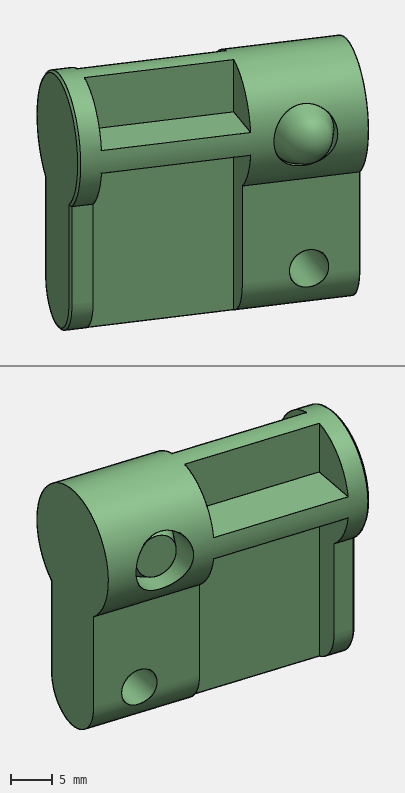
import cadquery as cq
import math

length = 37.0
height = 33.3
head_radius = 8.5
stem_radius = 5.0
stem_center_z = head_radius + stem_radius - height
front_chamfer = 0.3

collar_length = 3.0
recess_end_y = 22.0
rib_thickness = 3.0

pin_y = 29.0
pin_radius = 4.07
knob_tip_x = 11.45
dome_base_x = 8.88
dome_base_radius = 3.33
knob_taper_start_x = 6.92
flat_end_x = -6.45
flat_end_radius = 2.85
flat_taper_length = 2.7

cross_hole_diameter = 5.0
cross_hole_y = 30.52
cross_hole_z = -18.85


def extrude_profile():
    """Round head with a round-ended stem hanging below it."""
    head = cq.Workplane("XZ").circle(head_radius).extrude(-length)
    stem_end = (
        cq.Workplane("XZ").center(0, stem_center_z).circle(stem_radius).extrude(-length)
    )
    stem = cq.Workplane("XY").box(
        2 * stem_radius, length, -stem_center_z, centered=(True, False, False)
    ).translate((0, 0, stem_center_z))
    return head.union(stem).union(stem_end)


def side_recess(side, upper):
    """Block removed beside the vertical rib, above or below the horizontal rib."""
    block_height = head_radius if upper else height
    direction_z = 1 if upper else -1
    block = cq.Workplane("XY").box(
        head_radius, recess_end_y - collar_length, block_height, centered=(True, False, True)
    )
    return block.translate((
        side * (rib_thickness + head_radius) / 2,
        collar_length,
        direction_z * (rib_thickness + block_height) / 2,
    ))


def make_pin_bore():
    return (
        cq.Workplane("YZ").center(pin_y, 0).circle(pin_radius).extrude(head_radius, both=True)
    )


def make_pin():
    """Pin tapered at both ends, turned from an X/radius outline about its own axis."""
    dome_height = knob_tip_x - dome_base_x
    dome_radius = (dome_base_radius**2 + dome_height**2) / (2 * dome_height)
    dome_center_x = knob_tip_x - dome_radius
    mid_angle = math.atan2(dome_base_radius, dome_base_x - dome_center_x) / 2
    dome_middle = (
        dome_center_x + dome_radius * math.cos(mid_angle),
        dome_radius * math.sin(mid_angle),
    )
    outline = (
        cq.Workplane("XY")
        .moveTo(flat_end_x, 0)
        .lineTo(flat_end_x, flat_end_radius)
        .lineTo(flat_end_x + flat_taper_length, pin_radius)
        .lineTo(knob_taper_start_x, pin_radius)
        .lineTo(dome_base_x, dome_base_radius)
        .threePointArc(dome_middle, (knob_tip_x, 0))
        .close()
    )
    axis_start = (0, 0, 0)
    axis_end = (1, 0, 0)
    return outline.revolve(360, axis_start, axis_end).translate((0, pin_y, 0))


body = extrude_profile().faces("<Y").chamfer(front_chamfer)
for side in (-1, 1):
    for upper in (True, False):
        body = body.cut(side_recess(side, upper))

cross_hole = (
    cq.Workplane("YZ")
    .center(cross_hole_y, cross_hole_z)
    .circle(cross_hole_diameter / 2)
    .extrude(stem_radius, both=True)
)

result = body.cut(make_pin_bore()).union(make_pin()).cut(cross_hole)